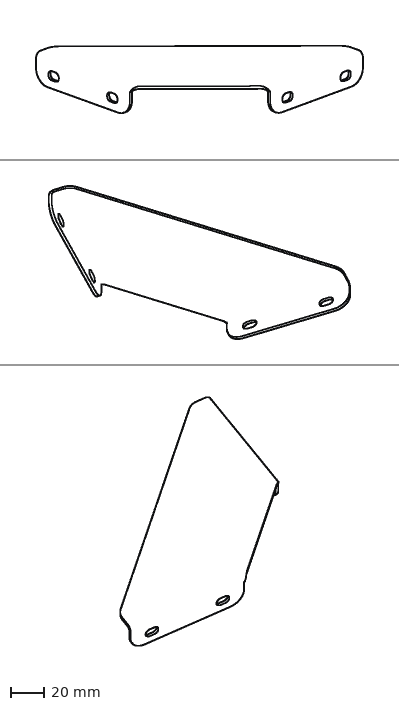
import cadquery as cq

side = 140.0
height = 20.0
thickness = 2.0
inner_bend_radius = 2.0
bend_radius = inner_bend_radius + thickness
bend_axis_z = height - bend_radius

outer_diagonal_offset = 14.0
inner_diagonal_start = 84.0
corner_radius = 10.0

flange_length = 80.0
slot_length = 9.0
slot_width = 6.0
slot_spacing = 50.0
first_slot_x = 15.0
slot_z = 8.4


def make_plate():
    far_edge = side - bend_radius
    outline = [
        (0, bend_radius),
        (inner_diagonal_start, bend_radius),
        (far_edge, side - inner_diagonal_start),
        (far_edge, side),
        (side - outer_diagonal_offset, side),
        (0, outer_diagonal_offset),
    ]
    plate = (
        cq.Workplane("XY")
        .workplane(offset=height - thickness)
        .polyline(outline)
        .close()
        .extrude(thickness)
    )
    for x, y in outline[4:]:
        corner = cq.selectors.NearestToPointSelector((x, y, height - thickness / 2))
        plate = plate.edges(corner).fillet(corner_radius)
    return plate


def bend_section(x):
    """Sketch plane across the bend, centered on the bend axis."""
    return cq.Workplane("YZ", origin=(x, bend_radius, bend_axis_z))


def make_bend():
    """Quarter tube whose end runs helically from the plate edge to the narrower flange."""
    tube = (
        bend_section(0)
        .moveTo(0, inner_bend_radius)
        .lineTo(0, bend_radius)
        .radiusArc((-bend_radius, 0), -bend_radius)
        .lineTo(-inner_bend_radius, 0)
        .radiusArc((0, inner_bend_radius), inner_bend_radius)
        .close()
        .extrude(inner_diagonal_start)
    )
    block = 2 * bend_radius
    waste = (
        bend_section(flange_length)
        .moveTo(-block, 0)
        .lineTo(block, 0)
        .lineTo(block, -block)
        .lineTo(-block, -block)
        .close()
        .twistExtrude(inner_diagonal_start - flange_length, -90)
    )
    return tube.cut(waste)


def make_flange():
    flange = (
        cq.Workplane("XY")
        .box(flange_length, thickness, bend_axis_z, centered=False)
        .faces("<Z")
        .edges("|Y")
        .fillet(corner_radius)
    )
    slots = (
        cq.Workplane("XZ")
        .pushPoints([(first_slot_x, slot_z), (first_slot_x + slot_spacing, slot_z)])
        .slot2D(slot_length, slot_width)
        .extrude(-thickness)
    )
    return flange.cut(slots)


folded_side = make_bend().union(make_flange())
opposite_side = folded_side.mirror(cq.Vector(1, 1, 0), (side / 2, side / 2, 0))
result = make_plate().union(folded_side).union(opposite_side)